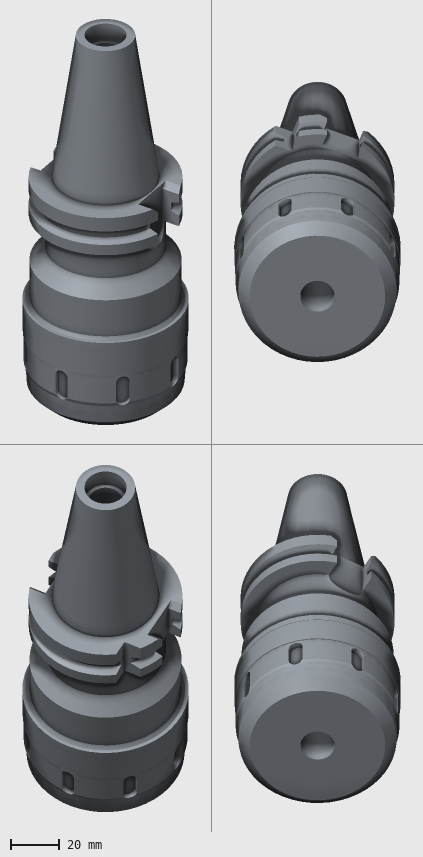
import cadquery as cq

total_height = 173.4
gauge_z = 105.0
flange_top_z = 104.0
flange_bottom_z = 85.8
neck_bottom_z = 70.2
body_top_z = 63.5
body_bottom_z = 45.8
nut_top_z = 44.4
ring_bottom_z = 41.1
grip_top_z = 28.1
grip_bottom_z = 14.4
nose_top_z = 12.8
nose_bottom_z = 4.5

gauge_radius = 22.2
taper_ratio = 7 / 24
tip_radius = gauge_radius - (total_height - gauge_z) * taper_ratio / 2
flange_radius = 31.7
neck_radius = 25.0
body_radius = 31.4
body_foot_radius = 32.8
ring_radius = 34.3
nut_radius = 34.2
grip_radius = 33.8
nose_top_radius = 33.3
nose_bottom_radius = 32.6
face_radius = 28.0

groove_z = 94.2
groove_floor_radius = 28.1
groove_floor_width = 3.8
groove_mouth_width = 6.6

slot_width = 16.1
slot_chamfer = 2.6
shallow_slot_floor = 25.0
deep_slot_floor = 22.7

notch_inset = 18.4

spanner_count = 8
spanner_width = 5.9
spanner_bottom_z = 12.8
spanner_top_z = 27.0
spanner_floor_radius = 31.2

bore_radius = 7.1
counterbore_radius = 8.7
counterbore_depth = 8.5


def turned_body():
    """Nut, body, neck, flange and taper as one revolved outline."""
    groove_floor = groove_floor_width / 2
    groove_mouth = groove_mouth_width / 2
    outline = [
        (0, 0),
        (face_radius, 0),
        (nose_bottom_radius, nose_bottom_z),
        (nose_top_radius, nose_top_z),
        (grip_radius, grip_bottom_z),
        (grip_radius, grip_top_z),
        (nut_radius, grip_top_z),
        (nut_radius, ring_bottom_z),
        (ring_radius, ring_bottom_z),
        (ring_radius, nut_top_z),
        (body_foot_radius, nut_top_z),
        (body_radius, body_bottom_z),
        (body_radius, body_top_z),
        (neck_radius, neck_bottom_z),
        (neck_radius, flange_bottom_z),
        (flange_radius, flange_bottom_z),
        (flange_radius, groove_z - groove_mouth),
        (groove_floor_radius, groove_z - groove_floor),
        (groove_floor_radius, groove_z + groove_floor),
        (flange_radius, groove_z + groove_mouth),
        (flange_radius, flange_top_z),
        (gauge_radius, flange_top_z),
        (gauge_radius, gauge_z),
        (tip_radius, total_height),
        (0, total_height),
    ]
    return cq.Workplane("XZ").polyline(outline).close().revolve(360, (0, 0, 0), (0, 1, 0))


def drive_slot(floor, side):
    """Cutter for a flange slot with a chamfered mouth; side is +1 for +X, -1 for -X."""
    half = slot_width / 2
    mouth_half = half + slot_chamfer
    section = [
        (-half, flange_bottom_z),
        (half, flange_bottom_z),
        (half, flange_top_z - slot_chamfer),
        (mouth_half, flange_top_z),
        (-mouth_half, flange_top_z),
        (-half, flange_top_z - slot_chamfer),
    ]
    depth = ring_radius - floor
    return cq.Workplane("YZ", origin=(side * floor, 0, 0)).polyline(section).close().extrude(side * depth)


def slot_runout():
    """Cutter for the round end of the deep slot, which runs down into the neck."""
    return (
        cq.Workplane("YZ", origin=(deep_slot_floor, 0, flange_bottom_z))
        .circle(slot_width / 2)
        .extrude(flange_radius - deep_slot_floor)
    )


def orientation_notch():
    """Cutter for the square corner notch through the flange."""
    height = flange_top_z - flange_bottom_z
    return (
        cq.Workplane("XY", origin=(-notch_inset, notch_inset, flange_bottom_z))
        .rect(-flange_radius, flange_radius, centered=False)
        .extrude(height)
    )


def spanner_groove(angle):
    """Cutter for one round-ended upright groove at the given angle around the nut."""
    length = spanner_top_z - spanner_bottom_z
    middle_z = (spanner_top_z + spanner_bottom_z) / 2
    return (
        cq.Workplane("YZ", origin=(spanner_floor_radius, 0, middle_z))
        .slot2D(length, spanner_width, 90)
        .extrude(ring_radius - spanner_floor_radius)
        .rotate((0, 0, 0), (0, 0, 1), angle)
    )


result = turned_body()
result = result.cut(drive_slot(shallow_slot_floor, -1))
result = result.cut(drive_slot(deep_slot_floor, 1))
result = result.cut(slot_runout())
result = result.cut(orientation_notch())
for index in range(spanner_count):
    result = result.cut(spanner_groove(index * 360 / spanner_count))
result = result.faces(">Z").workplane(origin=(0, 0, 0)).cboreHole(
    2 * bore_radius, 2 * counterbore_radius, counterbore_depth
)